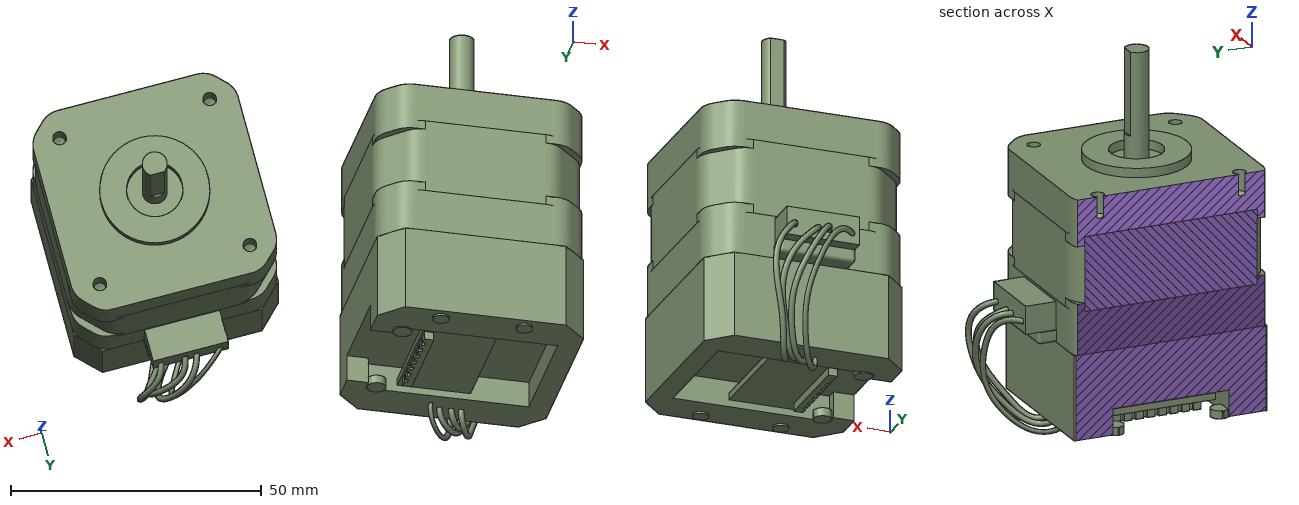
import cadquery as cq
frame_width = 42.2
half_width = frame_width / 2
corner_cut = 4.7
stator_corner_cut = 6.7
corner_blend_radius = 5.0

box_height = 18.1
rear_cap_height = 11.0
stator_gap = 12.2
front_cap_height = 10.05
stator_seat_depth = 1.9
rear_cap_top = box_height + rear_cap_height
front_cap_bottom = rear_cap_top + stator_gap
front_cap_top = front_cap_bottom + front_cap_height
stator_bottom = rear_cap_top - stator_seat_depth
stator_height = stator_gap + 2 * stator_seat_depth

boss_diameter = 22.0
boss_height = 2.0
shaft_recess_diameter = 11.2
shaft_recess_depth = 2.0
mount_hole_diameter = 2.7
mount_hole_depth = 4.5
mount_hole_spacing = 31.0
drill_tip_height = 0.8

shaft_diameter = 5.0
shaft_top = 74.7
shaft_flat_depth = 0.5
shaft_flat_start = front_cap_top + 5.5

connector_width = 15.5
connector_reach = 6.65
connector_bottom = 20.7
connector_top = 26.7
ledge_width = 16.0
ledge_reach = 3.95
ledge_round = 0.7

cavity_half_x = 16.7
cavity_half_y = 12.65
notch_width = 20.7
notch_height = 5.6
post_diameter = 3.8
post_x = -14.8
post_y = 11.5
underside_drop = 0.2
foot_diameter = 3.3
foot_drop = 0.4
foot_x = 8.55
foot_y = -18.4

board_front_x = -10.3
board_length = 15.0
board_bottom = 1.5
board_thickness = 1.4
pin_count = 8
pin_pitch = 2.5
pin_width = 1.7
pin_depth = 0.6
pin_setback = 0.4
header_depth = 1.3

wire_diameter = 1.2
wire_pin_pitch = 2.45
wire_start_z = 23.0
wire_end_z = 0.95


def cut_corner_block(cut, bottom, height):
    """A square block whose four vertical corners are cut at 45 degrees."""
    block = cq.Workplane("XY").workplane(offset=bottom).rect(frame_width, frame_width).extrude(height)
    return block.edges("|Z").chamfer(cut)


def blended_block(cut, bottom, height):
    """A cut-corner block whose corner cuts run into the sides with arcs."""
    return cut_corner_block(cut, bottom, height).edges("|Z").fillet(corner_blend_radius)


def block_between(x_range, y_range, z_range):
    """A plain block given by its limits along each axis."""
    (x0, x1), (y0, y1), (z0, z1) = x_range, y_range, z_range
    return cq.Workplane("XY").box(x1 - x0, y1 - y0, z1 - z0, centered=False).translate((x0, y0, z0))


def make_stator():
    """The stator core, whose ends sit in seats in both caps."""
    return blended_block(stator_corner_cut, stator_bottom, stator_height)


def mounting_hole(x, y):
    """A blind drilled hole with a conical end."""
    radius = mount_hole_diameter / 2
    outline = (
        cq.Workplane("XZ")
        .lineTo(radius, 0)
        .lineTo(radius, -mount_hole_depth)
        .lineTo(0, -mount_hole_depth - drill_tip_height)
        .close()
    )
    return outline.revolve().translate((x, y, front_cap_top))


def make_front_cap(stator, shaft):
    """The front cap with its pilot boss, shaft recess and mounting holes."""
    cap = blended_block(corner_cut, front_cap_bottom, front_cap_height)
    boss_top = front_cap_top + boss_height
    boss = cq.Workplane("XY").workplane(offset=front_cap_top).circle(boss_diameter / 2).extrude(boss_height)
    recess = (
        cq.Workplane("XY")
        .workplane(offset=boss_top - shaft_recess_depth)
        .circle(shaft_recess_diameter / 2)
        .extrude(shaft_recess_depth)
    )
    cap = cap.union(boss).cut(recess)
    hole_offset = mount_hole_spacing / 2
    for x in (-hole_offset, hole_offset):
        for y in (-hole_offset, hole_offset):
            cap = cap.cut(mounting_hole(x, y))
    return cap.cut(stator).cut(shaft)


def make_shaft():
    """The output shaft, standing on the stator, with a flat along its free end."""
    bottom = stator_bottom + stator_height
    radius = shaft_diameter / 2
    shaft = cq.Workplane("XY").workplane(offset=bottom).circle(radius).extrude(shaft_top - bottom)
    flat = block_between((-radius, radius), (radius - shaft_flat_depth, radius), (shaft_flat_start, shaft_top))
    return shaft.cut(flat)


def make_rear_cap(stator):
    """The rear cap with the wire connector on its +Y side."""
    cap = blended_block(corner_cut, box_height, rear_cap_height).cut(stator)
    connector = block_between(
        (-connector_width / 2, connector_width / 2),
        (half_width, half_width + connector_reach),
        (connector_bottom, connector_top),
    )
    ledge = block_between(
        (-ledge_width / 2, ledge_width / 2),
        (half_width, half_width + ledge_reach),
        (box_height, connector_bottom),
    )
    ledge = ledge.edges("(>Y and |Z) or (<Z and (not <Y))").fillet(ledge_round)
    return cap.union(ledge).union(connector)


def make_driver_board():
    """The board across the cavity, with a toothed pin header under its -X edge."""
    board = block_between(
        (board_front_x, board_front_x + board_length),
        (-cavity_half_y, cavity_half_y),
        (board_bottom, board_bottom + board_thickness),
    )
    header_half_length = ((pin_count - 1) * pin_pitch + pin_width) / 2
    header_z = (-underside_drop, board_bottom)
    pin_front_x = board_front_x + pin_setback
    header_front_x = pin_front_x + pin_depth
    header = block_between(
        (header_front_x, header_front_x + header_depth), (-header_half_length, header_half_length), header_z
    )
    board = board.union(header)
    for index in range(pin_count):
        pin_y = -header_half_length + index * pin_pitch
        pin = block_between((pin_front_x, header_front_x), (pin_y, pin_y + pin_width), header_z)
        board = board.union(pin)
    return board


def make_driver_box(wires):
    """The driver box, open underneath, with its board, two posts, two feet and sockets for the wires."""
    box = cut_corner_block(corner_cut, 0, box_height)
    cavity = block_between((-cavity_half_x, cavity_half_x), (-cavity_half_y, cavity_half_y), (0, notch_height))
    notch = block_between((-half_width, -cavity_half_x), (-notch_width / 2, notch_width / 2), (0, notch_height))
    box = box.cut(cavity).cut(notch)
    posts = (
        cq.Workplane("XY")
        .workplane(offset=-underside_drop)
        .pushPoints([(post_x, -post_y), (post_x, post_y)])
        .circle(post_diameter / 2)
        .extrude(underside_drop + board_bottom)
    )
    feet = (
        cq.Workplane("XY")
        .workplane(offset=-foot_drop)
        .pushPoints([(-foot_x, foot_y), (foot_x, foot_y)])
        .circle(foot_diameter / 2)
        .extrude(foot_drop)
    )
    box = box.union(posts).union(feet).union(make_driver_board())
    for wire in wires:
        box = box.cut(wire)
    return box


def make_wire(pin, bends):
    """A wire from the connector face, round through its bends, up into the underside of the box."""
    start = (pin * wire_pin_pitch, half_width + connector_reach, wire_start_z)
    path = cq.Workplane("XY").spline([start, *bends])
    return cq.Workplane("XZ", origin=start).circle(wire_diameter / 2).sweep(path)


wire_pins = [-2.5, -0.5, 0.5, 2.5]

wire_bends = [
    [
        (-1.9, 31.15, 21.6),
        (2.2, 32.3, 15.0),
        (4.6, 30.5, 5.5),
        (3.2, 26.3, -0.8),
        (0.15, 20.8, -3.8),
        (-2.1, 17.2, -2.4),
        (-2.6, 15.8, wire_end_z),
    ],
    [
        (0.2, 31.0, 22.15),
        (4.5, 33.0, 15.8),
        (7.35, 30.7, 7.5),
        (6.25, 26.5, 1.6),
        (2.0, 20.2, -2.8),
        (0.0, 18.1, -1.6),
        (-0.5, 17.2, wire_end_z),
    ],
    [
        (2.2, 30.3, 21.8),
        (6.8, 31.7, 17.0),
        (9.3, 30.2, 10.5),
        (6.8, 24.8, 1.75),
        (3.8, 20.2, -2.1),
        (2.3, 17.95, -1.3),
        (1.8, 17.15, wire_end_z),
    ],
    [
        (7.2, 30.2, 22.15),
        (10.7, 31.8, 17.4),
        (10.9, 30.6, 9.5),
        (8.4, 27.1, 2.05),
        (5.4, 20.2, -2.9),
        (4.2, 17.9, -1.6),
        (3.95, 17.2, wire_end_z),
    ],
]

wires = [make_wire(pin, bends) for pin, bends in zip(wire_pins, wire_bends)]
stator = make_stator()
shaft = make_shaft()
front_cap = make_front_cap(stator, shaft)
rear_cap = make_rear_cap(stator)
driver_box = make_driver_box(wires)

result = cq.Compound.makeCompound(
    [front_cap.val(), stator.val(), rear_cap.val(), shaft.val(), driver_box.val(), *[wire.val() for wire in wires]]
)